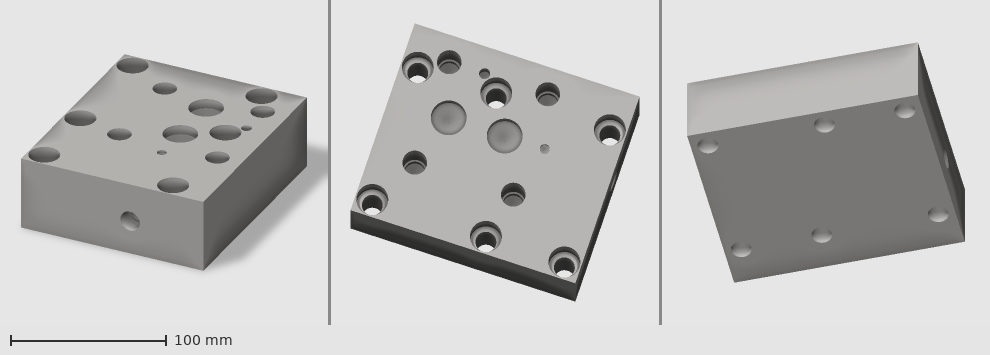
import cadquery as cq
import math

width = 130.1
length = 152.4
height = 50.7

bolt_edge = 11.1
bolt_spacing_x = 92.0
bolt_spacing_y = 53.2
bolt_diameter = 13.4
counterbore_diameter = 20.5
counterbore_depth = 15.2

valve_center_x = 77.9
valve_center_y = 89.8
valve_spacing_x = 70.0
valve_spacing_y = 66.8
valve_thread_diameter = 15.8
valve_thread_depth = 25.5
valve_drill_diameter = 13.4
valve_drill_depth = 30.5

port_diameter = 23.0
port_depth = 6.7
port_y_positions = (73.9, 111.9)

vent_diameter = 6.4
vent_depth = 1.8
vent_y = 46.8
pin_diameter = 7.2
pin_depth = 9.1
pin_y = 99.2

front_port_z = 23.8
front_port_thread_diameter = 13.9
front_port_thread_depth = 12.2
front_port_drill_diameter = 10.7
front_port_drill_depth = 21.3

drill_point_angle = math.radians(118.0)

down = cq.Vector(0, 0, -1)
inward = cq.Vector(0, 1, 0)


def straight_bore(start, direction, diameter, depth):
    """Flat-ended cylinder running from a point on a face."""
    return cq.Solid.makeCylinder(diameter / 2, depth, start, direction)


def drilled_bore(start, direction, diameter, depth):
    """Cylinder of the given depth ending in a conical drill point."""
    radius = diameter / 2
    tip_length = radius / math.tan(drill_point_angle / 2)
    tip = cq.Solid.makeCone(radius, 0, tip_length, start + direction * depth, direction)
    return straight_bore(start, direction, diameter, depth).fuse(tip)


def top_point(x, y):
    return cq.Vector(x, y, height)


block = cq.Workplane("XY").box(width, length, height, centered=False)

left_x = bolt_edge
right_x = bolt_edge + bolt_spacing_x
front_y = bolt_edge
back_y = length - bolt_edge
bolt_positions = [(x, y) for x in (left_x, right_x) for y in (front_y, back_y)]
bolt_positions += [(left_x, front_y + bolt_spacing_y), (right_x, back_y - bolt_spacing_y)]
for x, y in bolt_positions:
    block = block.cut(straight_bore(top_point(x, y), down, bolt_diameter, height))
    block = block.cut(straight_bore(top_point(x, y), down, counterbore_diameter, counterbore_depth))

valve_right_x = valve_center_x + valve_spacing_x / 2
for side_x in (-1, 1):
    for side_y in (-1, 1):
        start = top_point(
            valve_center_x + side_x * valve_spacing_x / 2,
            valve_center_y + side_y * valve_spacing_y / 2,
        )
        block = block.cut(drilled_bore(start, down, valve_drill_diameter, valve_drill_depth))
        block = block.cut(straight_bore(start, down, valve_thread_diameter, valve_thread_depth))

for y in port_y_positions:
    block = block.cut(drilled_bore(top_point(valve_center_x, y), down, port_diameter, port_depth))
block = block.cut(drilled_bore(top_point(valve_center_x, vent_y), down, vent_diameter, vent_depth))
block = block.cut(drilled_bore(top_point(valve_right_x, pin_y), down, pin_diameter, pin_depth))

front_port_start = cq.Vector(valve_center_x, 0, front_port_z)
block = block.cut(drilled_bore(front_port_start, inward, front_port_drill_diameter, front_port_drill_depth))
block = block.cut(straight_bore(front_port_start, inward, front_port_thread_diameter, front_port_thread_depth))

result = block